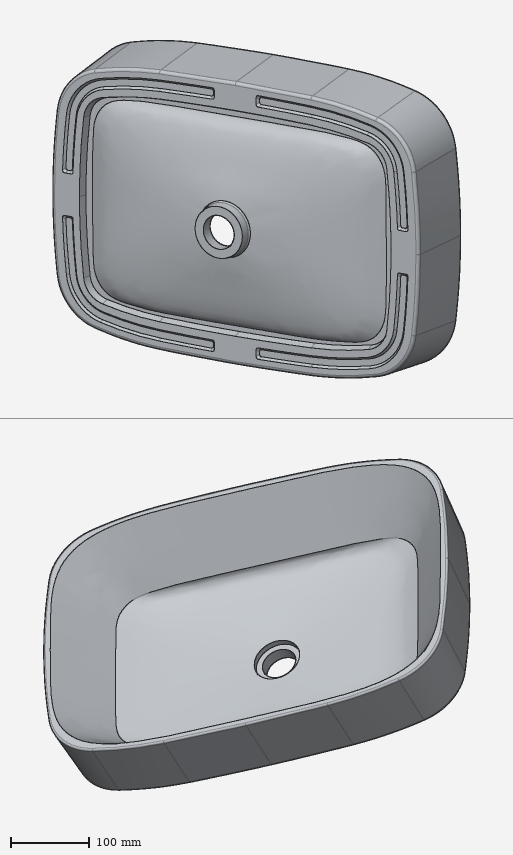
import cadquery as cq
import math


LENGTH_X = 550.5
LENGTH_Z = 399.0
RIM_CORNER_RADIUS = 80.5
RIM_ROUND = 3.0
BASE_HALF_X = 270.0
BASE_HALF_Z = 189.5
BASE_CORNER_RADIUS = 75.0
BASE_DEPTH = 101.5
BASE_ROUND = 4.5

SIDE_STRETCH = BASE_DEPTH / (BASE_DEPTH - RIM_ROUND)
RIM_HALF_X = BASE_HALF_X + (LENGTH_X / 2 - BASE_HALF_X) * SIDE_STRETCH
RIM_HALF_Z = BASE_HALF_Z + (LENGTH_Z / 2 - BASE_HALF_Z) * SIDE_STRETCH

LONG_SIDE_RADIUS = 3193.5
LONG_SIDE_HALF_ANGLE = math.radians(2)
SHOULDER_RADIUS = 451.5
END_RADIUS = 936.0

RECESS_HALF_X = 229.0
RECESS_HALF_Z = 151.5
RECESS_CORNER_RADIUS = 36.0
RECESS_DRAFT = 3.5
RECESS_HEIGHT = 11.0
RECESS_DEPTH = BASE_DEPTH - RECESS_HEIGHT

DOME_SECTIONS = [
    (RECESS_DEPTH, 216.0, 140.0, 7.0),
    (BASE_DEPTH, 194.5, 135.5, 5.5),
    (112.0, 163.0, 114.0, 4.2),
    (123.0, 99.0, 67.0, 2.6),
    (129.0, 33.0, 33.0, 2.0),
]
SECTION_POINTS = 48

WALL = 10.0
RIM_EXPONENT = 4.3

DRAIN_DEPTH = 144.0
DRAIN_ROOT_DEPTH = 127.0
DRAIN_OVERLAP = 3.0
DRAIN_ROOT_RADIUS = 36.5
DRAIN_END_RADIUS = 34.5
DRAIN_FILLET = 5.0
DRAIN_HOLE_RADIUS = 22.5
DRAIN_SEAT_RADIUS = 31.0
DRAIN_SEAT_DEPTH = 126.5

GROOVE_HALF_X = 246.5
GROOVE_HALF_Z = 169.5
GROOVE_CORNER_RADIUS = 58.0
GROOVE_WIDTH = 15.5
GROOVE_FLOOR_WIDTH = 9.5
GROOVE_HEIGHT = 3.5
GROOVE_END_X = 31.0
GROOVE_END_Z = 28.5
GROOVE_END_ROUND = 4.5


def at_depth(depth):
    """Plane parallel to the rim; its local axes are X and Z."""
    return cq.Workplane("XZ", origin=(0, -depth, 0))


def toward(start, end, distance):
    """Point at a distance from start along the line through end."""
    length = math.dist(start, end)
    return tuple(a + (b - a) * distance / length for a, b in zip(start, end))


def quarter_arcs(half_x, half_z, corner_radius):
    """Tangent arcs from the top middle to the right middle: (centre, start, end, radius)."""
    top = (0, half_z)
    right = (half_x, 0)
    long_centre = (0, half_z - LONG_SIDE_RADIUS)
    direction = (math.sin(LONG_SIDE_HALF_ANGLE), math.cos(LONG_SIDE_HALF_ANGLE))
    long_end = tuple(c + LONG_SIDE_RADIUS * d for c, d in zip(long_centre, direction))
    shoulder_centre = toward(long_end, long_centre, SHOULDER_RADIUS)
    end_centre = (half_x - END_RADIUS, 0)

    shoulder_reach = SHOULDER_RADIUS - corner_radius
    end_reach = END_RADIUS - corner_radius
    gap = math.dist(end_centre, shoulder_centre)
    along = (end_reach**2 - shoulder_reach**2 + gap**2) / (2 * gap)
    across = math.sqrt(end_reach**2 - along**2)
    foot = toward(end_centre, shoulder_centre, along)
    gap_x = (shoulder_centre[0] - end_centre[0]) / gap
    gap_z = (shoulder_centre[1] - end_centre[1]) / gap
    corner_centre = (foot[0] - across * gap_z, foot[1] + across * gap_x)

    shoulder_end = toward(shoulder_centre, corner_centre, SHOULDER_RADIUS)
    corner_end = toward(end_centre, corner_centre, END_RADIUS)
    return [
        (long_centre, top, long_end, LONG_SIDE_RADIUS),
        (shoulder_centre, long_end, shoulder_end, SHOULDER_RADIUS),
        (corner_centre, shoulder_end, corner_end, corner_radius),
        (end_centre, corner_end, right, END_RADIUS),
    ]


def outline(half_x, half_z, corner_radius, depth):
    """Closed wire of the rounded outline, mirrored from one quarter."""
    quarter = []
    for centre, start, end, radius in quarter_arcs(half_x, half_z, corner_radius):
        chord_middle = tuple((a + b) / 2 for a, b in zip(start, end))
        quarter.append((start, toward(centre, chord_middle, radius), end))
    half = quarter + [[(x, -z) for x, z in reversed(arc)] for arc in reversed(quarter)]
    loop = half + [[(-x, z) for x, z in reversed(arc)] for arc in reversed(half)]
    edges = []
    for arc in loop:
        edges.append(cq.Edge.makeThreePointArc(*(cq.Vector(x, -depth, z) for x, z in arc)))
    return cq.Wire.assembleEdges(edges)


def drafted_plug(half_x, half_z, corner_radius, draft, height):
    """Solid from the base plane up into the body, each side moving inwards by the draft."""
    return cq.Workplane(
        cq.Solid.makeLoft(
            [
                outline(half_x, half_z, corner_radius, BASE_DEPTH),
                outline(half_x - draft, half_z - draft, corner_radius - draft, BASE_DEPTH - height),
            ],
            True,
        )
    )


def superellipse(half_x, half_z, exponent, depth):
    """Closed smooth wire |x/half_x|^n + |z/half_z|^n = 1."""
    points = []
    for i in range(SECTION_POINTS):
        angle = 2 * math.pi * i / SECTION_POINTS
        across = math.cos(angle)
        upward = math.sin(angle)
        reach = (abs(across) ** exponent + abs(upward) ** exponent) ** (-1 / exponent)
        points.append(cq.Vector(half_x * across * reach, -depth, half_z * upward * reach))
    return cq.Wire.assembleEdges([cq.Edge.makeSpline(points, periodic=True)])


def dome(inset):
    """Dome solid with every section moved inwards and upwards by the inset."""
    wires = []
    for depth, half_x, half_z, exponent in DOME_SECTIONS:
        wires.append(superellipse(half_x - inset, half_z - inset, exponent, depth - inset))
    return cq.Workplane(cq.Solid.makeLoft(wires))


def make_body():
    rim = outline(RIM_HALF_X, RIM_HALF_Z, RIM_CORNER_RADIUS, 0)
    base = outline(BASE_HALF_X, BASE_HALF_Z, BASE_CORNER_RADIUS, BASE_DEPTH)
    body = cq.Workplane(cq.Solid.makeLoft([rim, base], True))
    return body.faces("<Y").edges().fillet(BASE_ROUND).faces(">Y").edges().fillet(RIM_ROUND)


def make_recess():
    return drafted_plug(RECESS_HALF_X, RECESS_HALF_Z, RECESS_CORNER_RADIUS, RECESS_DRAFT, RECESS_HEIGHT)


def make_drain():
    """Tapered outlet with a flared root, revolved about Y."""
    flare_radius = DRAIN_ROOT_RADIUS + DRAIN_FILLET
    flare_end = DRAIN_ROOT_DEPTH + DRAIN_FILLET
    reach = DRAIN_FILLET * math.sqrt(0.5)
    return (
        cq.Workplane("XY")
        .moveTo(0, DRAIN_OVERLAP - DRAIN_ROOT_DEPTH)
        .lineTo(flare_radius, DRAIN_OVERLAP - DRAIN_ROOT_DEPTH)
        .lineTo(flare_radius, -DRAIN_ROOT_DEPTH)
        .threePointArc((flare_radius - reach, reach - flare_end), (DRAIN_ROOT_RADIUS, -flare_end))
        .lineTo(DRAIN_END_RADIUS, -DRAIN_DEPTH)
        .lineTo(0, -DRAIN_DEPTH)
        .close()
        .revolve(360, (0, 0), (0, 1))
    )


def make_cavity():
    """Basin interior, the drain seat and the drain hole."""
    depth, half_x, half_z, exponent = DOME_SECTIONS[0]
    mouth = superellipse(RIM_HALF_X - WALL, RIM_HALF_Z - WALL, RIM_EXPONENT, 0)
    bowl_depth = depth - WALL
    bowl_edge = superellipse(half_x - WALL, half_z - WALL, exponent, bowl_depth)
    sides = cq.Workplane(cq.Solid.makeLoft([mouth, bowl_edge], True))
    seat = at_depth(bowl_depth).circle(DRAIN_SEAT_RADIUS).extrude(DRAIN_SEAT_DEPTH - bowl_depth)
    hole = at_depth(bowl_depth).circle(DRAIN_HOLE_RADIUS).extrude(DRAIN_DEPTH - bowl_depth)
    return sides.union(dome(WALL)).union(seat).union(hole)


def make_groove():
    """L-shaped drafted groove of the +X +Z corner."""
    draft = (GROOVE_WIDTH - GROOVE_FLOOR_WIDTH) / 2

    def edge_plug(offset, edge_draft):
        return drafted_plug(
            GROOVE_HALF_X + offset,
            GROOVE_HALF_Z + offset,
            GROOVE_CORNER_RADIUS + offset,
            edge_draft,
            GROOVE_HEIGHT,
        )

    ring = edge_plug(GROOVE_WIDTH / 2, draft).cut(edge_plug(-GROOVE_WIDTH / 2, -draft))
    corner = (
        at_depth(BASE_DEPTH)
        .center(GROOVE_END_X, GROOVE_END_Z)
        .rect(RIM_HALF_X, RIM_HALF_Z, centered=False)
        .extrude(-GROOVE_HEIGHT, taper=math.degrees(math.atan(draft / GROOVE_HEIGHT)))
    )
    groove = ring.intersect(corner)
    middle_y = -BASE_DEPTH + GROOVE_HEIGHT / 2
    margin = GROOVE_HEIGHT / 4
    for x, z in ((GROOVE_END_X, GROOVE_HALF_Z), (GROOVE_HALF_X, GROOVE_END_Z)):
        low = (x - GROOVE_WIDTH, middle_y - margin, z - GROOVE_WIDTH)
        high = (x + GROOVE_WIDTH, middle_y + margin, z + GROOVE_WIDTH)
        groove = groove.edges(cq.selectors.BoxSelector(low, high)).fillet(GROOVE_END_ROUND)
    return groove


basin = make_body().cut(make_recess()).union(dome(0)).union(make_drain()).cut(make_cavity())
upper_groove = make_groove()
for right_groove in (upper_groove, upper_groove.mirror("XY")):
    basin = basin.cut(right_groove).cut(right_groove.mirror("YZ"))

result = basin.solids()